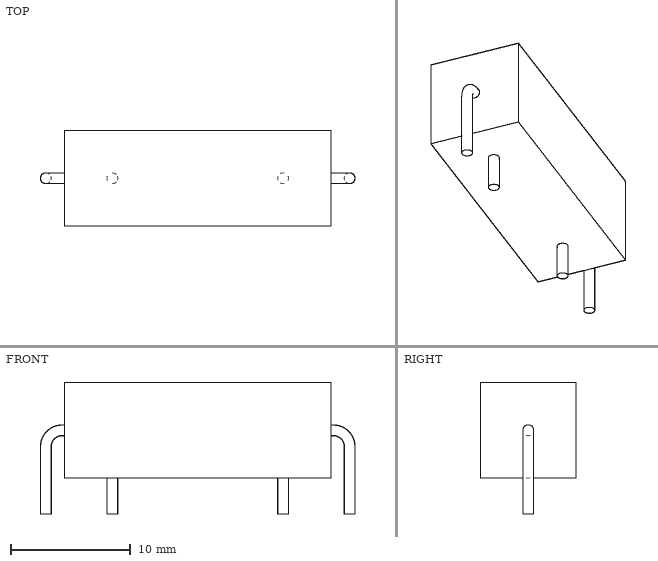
import cadquery as cq

body_length = 22.3
body_width = 8.0
body_height = 8.0

lead_diameter = 0.91
lead_radius = lead_diameter / 2
lead_drop = 3.0
end_lead_spacing = 25.4
bottom_lead_spacing = 14.28
bend_radius = 1.365
end_lead_height = body_height / 2


def make_body():
    return cq.Workplane("XY").box(body_length, body_width, body_height, centered=(True, True, False))


def make_end_lead(side):
    """Lead leaving an end face (side = -1 or 1), bent down past the body."""
    face_x = side * body_length / 2
    lead_x = side * end_lead_spacing / 2
    bend_start_x = lead_x - side * bend_radius
    bend_end_z = end_lead_height - bend_radius
    path = (
        cq.Workplane("XZ")
        .moveTo(face_x, end_lead_height)
        .lineTo(bend_start_x, end_lead_height)
        .tangentArcPoint((lead_x, bend_end_z), relative=False)
        .lineTo(lead_x, -lead_drop)
    )
    section = cq.Workplane("YZ", origin=(face_x, 0, end_lead_height)).circle(lead_radius)
    return section.sweep(path)


def make_bottom_lead(side):
    """Straight lead leaving the underside of the body."""
    lead_x = side * bottom_lead_spacing / 2
    return cq.Workplane("XY").center(lead_x, 0).circle(lead_radius).extrude(-lead_drop)


result = make_body()
for side in (-1, 1):
    result = result.union(make_end_lead(side))
    result = result.union(make_bottom_lead(side))